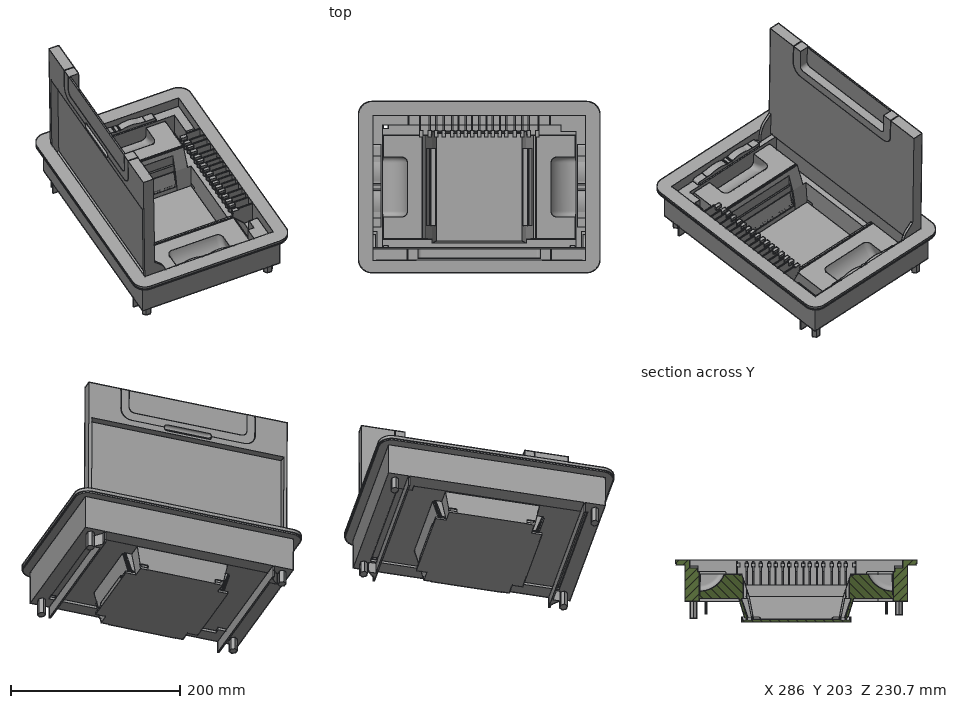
import cadquery as cq

RIM_LENGTH = 285.97
RIM_WIDTH = 202.97
RIM_CORNER_RADIUS = 16.2
RIM_EDGE_HEIGHT = 4.2
RIM_STEP_HEIGHT = 2.0
RIM_STEP_INSET = 1.0
RIM_HEIGHT = RIM_EDGE_HEIGHT + RIM_STEP_HEIGHT
BOX_HALF_LENGTH = 131.7
BOX_HALF_WIDTH = 90.7
BOX_BOTTOM = -49.3
OPENING_HALF_LENGTH = 125.7
OPENING_HALF_WIDTH = 84.7

LEDGE_TOP = -14.0
BACK_LEDGE_TOP = -29.5
BACK_LEDGE_HALF_LENGTH = 82.8
BACK_LEDGE_CHAMFER = 1.2
WELL_HALF_LENGTH = 114.5
WELL_HALF_WIDTH = 73.6
CORNER_BLOCK_LENGTH = 17.6
CORNER_BLOCK_WIDTH = 8.0

FIN_OFFSETS = [8.5, 16.0, 24.5, 32.0, 42.0, 51.0, 58.6, 70.0]
FIN_THICKNESS = 1.6
FIN_TOP = -2.0
FIN_TIP_Y = 59.0
FIN_TIP_BOTTOM = -14.0
FIN_SHOULDER_Y = 67.0
TAB_TOP = -4.0
TAB_HEIGHT = 4.5
TAB_WIDTH = 4.2
TAB_MAX_OFFSET = 68.6

SIDE_BLOCK_DEPTH = 9.3
SIDE_BLOCK_FRONT = -47.4
SIDE_BLOCK_BACK = 50.6
SIDE_BLOCK_HEIGHT = 4.0
SIDE_BLOCK_ROUND = 3.5
SIDE_STEP_Y = 36.5
SIDE_STEP_HEIGHT = 0.5
HUMP_INNER = 6.0
HUMP_OUTER = 29.5
HUMP_HEIGHT = 2.0
SIDE_GROOVE_Y = 3.2
SIDE_GROOVE_WIDTH = 1.8
SIDE_GROOVE_DEPTH = 1.0

POCKET_DEPTH_X = 5.1
POCKET_BACK = -52.4
POCKET_BOTTOM = -31.0

RAIL_OUTER_X = 107.6
RAIL_THICKNESS = 1.8
RAIL_BOTTOM = -64.2
GUSSET_OUTER_X = 116.4
GUSSET_BACK = -76.0
GUSSET_FRONT = -85.4
FOOT_INNER_X = 117.4
FOOT_OUTER_X = 125.6
FOOT_LENGTH = 11.5
FOOT_POINT_LENGTH = 3.0
FOOT_CENTRE_YS = [79.8, -80.1]
LEFT_FOOT_BOTTOM = -69.3
RIGHT_FOOT_BOTTOM = -65.2

TRAY_BOTTOM = -73.7
PLATE_TOP = -43.4
PLATE_THICKNESS = 2.6
PLATE_BOTTOM = PLATE_TOP - PLATE_THICKNESS
PAD_TOP = -17.0
PAD_TOP_OUTER_X = 113.0
PAD_TOP_INNER_X = 64.4
PAD_TOP_HALF_WIDTH = 60.7
PAD_BASE_HALF_WIDTH = 61.7
PAD_GROOVE_X = 67.0
PAD_GROOVE_SIZE = 1.0
TROUGH_TOP_HALF_LENGTH = 55.6
TROUGH_TOP_HALF_WIDTH = 66.4
TROUGH_FLOOR = -70.0
TROUGH_FLOOR_HALF_LENGTH = 50.4
TROUGH_FLOOR_HALF_WIDTH = 63.6
TROUGH_WALL = 2.2
SCOOP_INNER_X = 85.0
SCOOP_HALF_WIDTH = 35.5
SCOOP_DEPTH = 20.0
SCOOP_END_ROUND = 6.5
VENT_X = 110.0
VENT_Y = 71.3
VENT_LENGTH = 6.0
VENT_WIDTH = 3.8

SLOT_HALF_WIDTH = 45.5
LOWER_SLOT = (51.5, 58.3)
UPPER_SLOT = (59.0, 62.4)
CLIP_HALF_WIDTH = 49.7
CLIP_TOP_X = 67.9
CLIP_FOOT_X = 60.2
CLIP_FOOT_Z = -71.7
CLIP_THICKNESS = 3.2
CLIP_PANEL_HALF_WIDTH = 47.2
CLIP_PANEL_BOTTOM = -69.0
CLIP_PANEL_THICKNESS = 1.6
CLIP_PLATE_OUTER_X = 64.7
CLIP_PLATE_THICKNESS = 2.8
CLIP_LIP_HALF_WIDTH = 32.8
CLIP_LIP_HEIGHT = 6.2
CLIP_LIP_THICKNESS = 2.0
NOTCH_INNER_X = 42.5
NOTCH_DEPTH = 1.0
NOTCH_HEIGHT = 5.8
NOTCH_ROUND = 1.5

LID_TOP = 157.0
LID_FRONT_TOP_Y = -86.7
LID_FRONT_RIM_Y = -84.7
LID_BACK_TOP_Y = -73.5
LID_BACK_KNEE_Y = -71.6
LID_KNEE_Z = 18.0
LID_LEAN = (LID_FRONT_TOP_Y - LID_FRONT_RIM_Y) / LID_TOP
LID_CLEARING_DEPTH = LID_BACK_TOP_Y - LID_FRONT_TOP_Y + 1.0
LID_PANEL_HALF_LENGTH = 121.6
LID_PANEL_TOP = 108.6
LID_PANEL_DEPTH = 9.0
HINGE_ARM_WIDTH = 3.2
HINGE_CAM_START = (-61.6, 8.5)
HINGE_CAM_MIDDLE = (-57.3, 0.0)
HINGE_CAM_END = (-55.8, -8.0)
HINGE_BOTTOM = -24.0

FLAP_HALF_LENGTH = 84.5
FLAP_BOTTOM = 116.2
FLAP_CORNER_RADIUS = 13.0
FLAP_SIDE_GAP = 0.8
FLAP_PANEL_HALF_LENGTH = 74.6
FLAP_PANEL_BOTTOM = 127.0
FLAP_PANEL_RADIUS = 7.0
FLAP_PANEL_INSET = 0.3
FLAP_WALL = 2.3
FLAP_NOTCH_HALF_LENGTH = 72.7
FLAP_NOTCH_BOTTOM = 128.0
FLAP_NOTCH_RADIUS = 5.0
GRIP_HALF_LENGTH = 29.6
GRIP_BOTTOM = 111.8
GRIP_TOP = 120.0
GRIP_DEPTH = 4.5
GRIP_ROUND = 3.2


def block(x0, x1, y0, y1, z0, z1):
    """Box between two corners."""
    return cq.Workplane("XY").box(x1 - x0, y1 - y0, z1 - z0, centered=False).translate((x0, y0, z0))


def centred_block(half_length, half_width, z0, z1):
    return block(-half_length, half_length, -half_width, half_width, z0, z1)


def both_sides(shape):
    """The shape together with its mirror image across the YZ plane."""
    return shape.union(shape.mirror("YZ"))


def frustum(base, top):
    """Tapered block; each end is (x0, x1, half_width, z)."""
    x0, x1, half_width, z = base
    wire = cq.Workplane("XY", origin=((x0 + x1) / 2, 0, z)).rect(x1 - x0, 2 * half_width)
    tx0, tx1, top_half_width, top_z = top
    shift = (tx0 + tx1 - x0 - x1) / 2
    wire = wire.workplane(offset=top_z - z).center(shift, 0).rect(tx1 - tx0, 2 * top_half_width)
    return wire.loft(ruled=True)


def rim():
    edge = cq.Workplane("XY").rect(RIM_LENGTH, RIM_WIDTH).extrude(-RIM_EDGE_HEIGHT)
    edge = edge.edges("|Z").fillet(RIM_CORNER_RADIUS)
    inset = 2 * RIM_STEP_INSET
    step = cq.Workplane("XY", origin=(0, 0, -RIM_EDGE_HEIGHT)).rect(RIM_LENGTH - inset, RIM_WIDTH - inset)
    step = step.extrude(-RIM_STEP_HEIGHT).edges("|Z").fillet(RIM_CORNER_RADIUS - RIM_STEP_INSET)
    return edge.union(step)


def frame():
    body = rim().union(centred_block(BOX_HALF_LENGTH, BOX_HALF_WIDTH, BOX_BOTTOM, -RIM_HEIGHT))
    body = body.cut(centred_block(OPENING_HALF_LENGTH, OPENING_HALF_WIDTH, LEDGE_TOP, 0))
    body = body.cut(centred_block(WELL_HALF_LENGTH, WELL_HALF_WIDTH, BOX_BOTTOM, LEDGE_TOP))
    body = body.cut(back_recess())
    pocket_inner = OPENING_HALF_LENGTH - POCKET_DEPTH_X
    pocket = block(
        pocket_inner, OPENING_HALF_LENGTH, -WELL_HALF_WIDTH, POCKET_BACK, POCKET_BOTTOM, LEDGE_TOP
    )
    return body.cut(both_sides(pocket)).union(corner_block())


def back_recess():
    """Lower stretch of the back ledge, with chamfered upper ends."""
    half = BACK_LEDGE_HALF_LENGTH
    wide = half + BACK_LEDGE_CHAMFER
    shoulder = LEDGE_TOP - BACK_LEDGE_CHAMFER
    profile = [
        (-half, BACK_LEDGE_TOP),
        (half, BACK_LEDGE_TOP),
        (half, shoulder),
        (wide, LEDGE_TOP),
        (-wide, LEDGE_TOP),
        (-half, shoulder),
    ]
    recess = cq.Workplane("XZ", origin=(0, OPENING_HALF_WIDTH, 0)).polyline(profile).close()
    return recess.extrude(OPENING_HALF_WIDTH - WELL_HALF_WIDTH)


def corner_block():
    """Block filling the back right corner of the well, above and through the tray plate."""
    x0 = WELL_HALF_LENGTH - CORNER_BLOCK_LENGTH
    y0 = WELL_HALF_WIDTH - CORNER_BLOCK_WIDTH
    return block(x0, WELL_HALF_LENGTH, y0, WELL_HALF_WIDTH, BOX_BOTTOM, LEDGE_TOP)


def comb_fin(x):
    profile = [
        (OPENING_HALF_WIDTH, FIN_TOP),
        (FIN_SHOULDER_Y, FIN_TOP),
        (FIN_SHOULDER_Y, TAB_TOP),
        (FIN_TIP_Y, TAB_TOP),
        (FIN_TIP_Y, FIN_TIP_BOTTOM),
        (WELL_HALF_WIDTH, BACK_LEDGE_TOP),
        (OPENING_HALF_WIDTH, BACK_LEDGE_TOP),
    ]
    fin = cq.Workplane("YZ").polyline(profile).close().extrude(FIN_THICKNESS / 2, both=True)
    fin = fin.translate((x, 0, 0))
    tab_x = max(-TAB_MAX_OFFSET, min(TAB_MAX_OFFSET, x))
    half = TAB_WIDTH / 2
    tab = block(tab_x - half, tab_x + half, FIN_TIP_Y, FIN_SHOULDER_Y, TAB_TOP - TAB_HEIGHT, TAB_TOP)
    return fin.union(tab)


def comb():
    fins = comb_fin(0)
    for offset in FIN_OFFSETS:
        fins = fins.union(comb_fin(offset)).union(comb_fin(-offset))
    return fins


def side_block():
    """Block beside the well: a raised middle with two humps and two small grooves between them."""
    base = LEDGE_TOP + SIDE_BLOCK_HEIGHT
    top = base + SIDE_STEP_HEIGHT
    crest = top + HUMP_HEIGHT
    hump_middle = (HUMP_INNER + HUMP_OUTER) / 2
    inner_x = OPENING_HALF_LENGTH - SIDE_BLOCK_DEPTH
    outline = (
        cq.Workplane("YZ", origin=(inner_x, 0, 0))
        .moveTo(SIDE_BLOCK_FRONT, LEDGE_TOP)
        .lineTo(SIDE_BLOCK_FRONT, base)
        .lineTo(-SIDE_STEP_Y, base)
        .lineTo(-SIDE_STEP_Y, top)
        .lineTo(-HUMP_OUTER, top)
        .threePointArc((-hump_middle, crest), (-HUMP_INNER, top))
        .lineTo(HUMP_INNER, top)
        .threePointArc((hump_middle, crest), (HUMP_OUTER, top))
        .lineTo(SIDE_STEP_Y, top)
        .lineTo(SIDE_STEP_Y, base)
        .lineTo(SIDE_BLOCK_BACK - SIDE_BLOCK_ROUND, base)
        .radiusArc((SIDE_BLOCK_BACK, base - SIDE_BLOCK_ROUND), SIDE_BLOCK_ROUND)
        .lineTo(SIDE_BLOCK_BACK, LEDGE_TOP)
        .close()
    )
    body = outline.extrude(SIDE_BLOCK_DEPTH)
    half_groove = SIDE_GROOVE_WIDTH / 2
    for y in (-SIDE_GROOVE_Y, SIDE_GROOVE_Y):
        groove = block(
            inner_x, OPENING_HALF_LENGTH, y - half_groove, y + half_groove, top - SIDE_GROOVE_DEPTH, top
        )
        body = body.cut(groove)
    return body


def rail():
    """Long thin wall under the frame, with an oblique gusset at its front end."""
    wall = block(
        RAIL_OUTER_X - RAIL_THICKNESS, RAIL_OUTER_X, -BOX_HALF_WIDTH, BOX_HALF_WIDTH, RAIL_BOTTOM, BOX_BOTTOM
    )
    corners = [(RAIL_OUTER_X, GUSSET_BACK), (RAIL_OUTER_X, GUSSET_FRONT), (GUSSET_OUTER_X, GUSSET_BACK)]
    gusset = cq.Workplane("XY", origin=(0, 0, BOX_BOTTOM)).polyline(corners).close()
    return wall.union(gusset.extrude(RAIL_BOTTOM - BOX_BOTTOM))


def foot(side, centre_y, bottom):
    """Hexagonal foot pointed along Y; side is -1 for left and 1 for right."""
    half_width = (FOOT_OUTER_X - FOOT_INNER_X) / 2
    tip = FOOT_LENGTH / 2
    shoulder = tip - FOOT_POINT_LENGTH
    outline = [
        (0, tip),
        (half_width, shoulder),
        (half_width, -shoulder),
        (0, -tip),
        (-half_width, -shoulder),
        (-half_width, shoulder),
    ]
    centre_x = side * (FOOT_INNER_X + FOOT_OUTER_X) / 2
    base = cq.Workplane("XY", origin=(centre_x, centre_y, BOX_BOTTOM))
    return base.polyline(outline).close().extrude(bottom - BOX_BOTTOM)


def make_housing():
    body = frame().union(comb()).union(both_sides(side_block())).union(both_sides(rail()))
    for centre_y in FOOT_CENTRE_YS:
        body = body.union(foot(-1, centre_y, LEFT_FOOT_BOTTOM))
        body = body.union(foot(1, centre_y, RIGHT_FOOT_BOTTOM))
    return body


def trough(top_z, bottom_z, wall):
    """Tapered trough volume between two levels, grown sideways by the wall thickness."""
    slope_x = (TROUGH_TOP_HALF_LENGTH - TROUGH_FLOOR_HALF_LENGTH) / (PLATE_TOP - TROUGH_FLOOR)
    slope_y = (TROUGH_TOP_HALF_WIDTH - TROUGH_FLOOR_HALF_WIDTH) / (PLATE_TOP - TROUGH_FLOOR)

    def level(z):
        drop = PLATE_TOP - z
        half_length = TROUGH_TOP_HALF_LENGTH + wall - slope_x * drop
        return (-half_length, half_length, TROUGH_TOP_HALF_WIDTH + wall - slope_y * drop, z)

    return frustum(level(bottom_z), level(top_z))


def pad():
    base = (TROUGH_TOP_HALF_LENGTH, WELL_HALF_LENGTH, PAD_BASE_HALF_WIDTH, PLATE_TOP)
    top = (PAD_TOP_INNER_X, PAD_TOP_OUTER_X, PAD_TOP_HALF_WIDTH, PAD_TOP)
    half_groove = PAD_GROOVE_SIZE / 2
    groove = block(
        PAD_GROOVE_X - half_groove,
        PAD_GROOVE_X + half_groove,
        -PAD_BASE_HALF_WIDTH,
        PAD_BASE_HALF_WIDTH,
        PAD_TOP - PAD_GROOVE_SIZE,
        PAD_TOP,
    )
    return frustum(base, top).cut(groove).cut(finger_scoop())


def finger_scoop():
    """Hollow with an arched floor, deepest at the outer edge of the pad and rounded at both ends."""
    reach = WELL_HALF_LENGTH - SCOOP_INNER_X
    radius = (reach**2 + SCOOP_DEPTH**2) / (2 * SCOOP_DEPTH)
    centre_z = PAD_TOP - SCOOP_DEPTH + radius
    cylinder = cq.Workplane("XZ", origin=(WELL_HALF_LENGTH, 0, centre_z)).circle(radius)
    cylinder = cylinder.extrude(SCOOP_HALF_WIDTH, both=True).edges("%CIRCLE").fillet(SCOOP_END_ROUND)
    x0 = WELL_HALF_LENGTH - radius
    floor_z = PAD_TOP - SCOOP_DEPTH
    below_top = block(x0, WELL_HALF_LENGTH, -SCOOP_HALF_WIDTH, SCOOP_HALF_WIDTH, floor_z, PAD_TOP)
    return cylinder.intersect(below_top)


def clip_layer(inner_x, outer_x, half_width, bottom_z):
    """Slanted layer of the clip; both X values are taken at the underside of the tray plate."""
    lean = (CLIP_TOP_X - CLIP_FOOT_X) / (PLATE_BOTTOM - CLIP_FOOT_Z)
    shift = lean * (PLATE_BOTTOM - bottom_z)
    profile = [
        (inner_x, PLATE_BOTTOM),
        (outer_x, PLATE_BOTTOM),
        (outer_x - shift, bottom_z),
        (inner_x - shift, bottom_z),
    ]
    return cq.Workplane("XZ").polyline(profile).close().extrude(half_width, both=True)


def clip_web():
    """End walls joining the slanted arm to the trough."""
    profile = [
        (TROUGH_FLOOR_HALF_LENGTH, PLATE_BOTTOM),
        (CLIP_TOP_X - CLIP_THICKNESS, PLATE_BOTTOM),
        (CLIP_FOOT_X - CLIP_THICKNESS, CLIP_PANEL_BOTTOM),
        (TROUGH_FLOOR_HALF_LENGTH, CLIP_PANEL_BOTTOM),
    ]
    walls = cq.Workplane("XZ").polyline(profile).close().extrude(CLIP_HALF_WIDTH, both=True)
    span = block(0, CLIP_TOP_X, -CLIP_PANEL_HALF_WIDTH, CLIP_PANEL_HALF_WIDTH, TRAY_BOTTOM, PLATE_BOTTOM)
    return walls.cut(span).cut(trough(PLATE_TOP, TROUGH_FLOOR, 0))


def clip():
    """Slanted spring arm with its raised panel, the end walls, the foot plate and its lip."""
    arm_outer = CLIP_TOP_X - CLIP_PANEL_THICKNESS
    arm = clip_layer(CLIP_TOP_X - CLIP_THICKNESS, arm_outer, CLIP_HALF_WIDTH, CLIP_FOOT_Z)
    panel = clip_layer(arm_outer, CLIP_TOP_X, CLIP_PANEL_HALF_WIDTH, CLIP_PANEL_BOTTOM)
    plate = block(
        TROUGH_FLOOR_HALF_LENGTH,
        CLIP_PLATE_OUTER_X,
        -CLIP_HALF_WIDTH,
        CLIP_HALF_WIDTH,
        TRAY_BOTTOM,
        TRAY_BOTTOM + CLIP_PLATE_THICKNESS,
    )
    lip = block(
        CLIP_PLATE_OUTER_X - CLIP_LIP_THICKNESS,
        CLIP_PLATE_OUTER_X,
        -CLIP_LIP_HALF_WIDTH,
        CLIP_LIP_HALF_WIDTH,
        TRAY_BOTTOM,
        TRAY_BOTTOM + CLIP_LIP_HEIGHT,
    )
    return arm.union(panel).union(clip_web()).union(plate).union(lip)


def clip_slots():
    """Two long slots through the sloping side of the trough, above the clip."""
    slots = cq.Workplane("XY")
    for x0, x1 in (LOWER_SLOT, UPPER_SLOT):
        slots = slots.union(
            block(x0, x1, -SLOT_HALF_WIDTH, SLOT_HALF_WIDTH, TRAY_BOTTOM + CLIP_PLATE_THICKNESS, PAD_TOP)
        )
    return slots


def corner_notches():
    """Shallow reliefs at the bottom corners of the trough's front and back walls."""
    y0 = TROUGH_FLOOR_HALF_WIDTH + TROUGH_WALL - NOTCH_DEPTH
    top_z = TRAY_BOTTOM + NOTCH_HEIGHT
    notch = block(
        NOTCH_INNER_X, TROUGH_TOP_HALF_LENGTH, y0, TROUGH_TOP_HALF_WIDTH, TRAY_BOTTOM, top_z
    )
    notch = both_sides(notch.edges("|Y and <X and >Z").fillet(NOTCH_ROUND))
    return notch.union(notch.mirror("XZ"))


def vents():
    points = [(x, y) for x in (-VENT_X, VENT_X) for y in (-VENT_Y, VENT_Y)]
    holes = cq.Workplane("XY", origin=(0, 0, PLATE_BOTTOM)).pushPoints(points)
    return holes.rect(VENT_LENGTH, VENT_WIDTH).extrude(PLATE_THICKNESS)


def make_tray():
    body = centred_block(WELL_HALF_LENGTH, WELL_HALF_WIDTH, PLATE_BOTTOM, PLATE_TOP)
    body = body.union(trough(PLATE_TOP, TRAY_BOTTOM, TROUGH_WALL)).union(both_sides(pad()))
    body = body.cut(trough(PLATE_TOP, TROUGH_FLOOR, 0)).cut(corner_notches())
    body = body.cut(both_sides(clip_slots())).union(both_sides(clip()))
    return body.cut(vents()).cut(corner_block())


def lid_front_y(z):
    return LID_FRONT_RIM_Y + LID_LEAN * z


def lid_slab():
    """Leaning slab of the lid, without the hinge arms."""
    back_lean = (LID_BACK_TOP_Y - LID_BACK_KNEE_Y) / (LID_TOP - LID_KNEE_Z)
    back_bottom_y = LID_BACK_KNEE_Y + back_lean * (LEDGE_TOP - LID_KNEE_Z)
    profile = [
        (lid_front_y(LEDGE_TOP), LEDGE_TOP),
        (LID_FRONT_TOP_Y, LID_TOP),
        (LID_BACK_TOP_Y, LID_TOP),
        (back_bottom_y, LEDGE_TOP),
    ]
    return cq.Workplane("YZ").polyline(profile).close().extrude(OPENING_HALF_LENGTH, both=True)


def hinge_arm():
    arm = (
        cq.Workplane("YZ", origin=(OPENING_HALF_LENGTH - HINGE_ARM_WIDTH, 0, 0))
        .moveTo(LID_BACK_KNEE_Y, LID_KNEE_Z)
        .lineTo(*HINGE_CAM_START)
        .threePointArc(HINGE_CAM_MIDDLE, HINGE_CAM_END)
        .lineTo(HINGE_CAM_END[0], HINGE_BOTTOM)
        .lineTo(-WELL_HALF_WIDTH, HINGE_BOTTOM)
        .lineTo(-WELL_HALF_WIDTH, LID_KNEE_Z)
        .close()
    )
    return arm.extrude(HINGE_ARM_WIDTH)


def leaning_slot(half_length, bottom, radius, near_depth, far_depth):
    """Round-cornered slot open at the top of the lid, between two depths behind its front face."""
    height = LID_TOP - bottom
    shape = cq.Workplane("XZ").center(0, bottom + height / 2).rect(2 * half_length, height)
    shape = shape.extrude(OPENING_HALF_WIDTH + WELL_HALF_WIDTH).edges("|Y and <Z").fillet(radius)
    layer = [
        (lid_front_y(bottom) + near_depth, bottom),
        (lid_front_y(LID_TOP) + near_depth, LID_TOP),
        (lid_front_y(LID_TOP) + far_depth, LID_TOP),
        (lid_front_y(bottom) + far_depth, bottom),
    ]
    return shape.intersect(cq.Workplane("YZ").polyline(layer).close().extrude(half_length, both=True))


def grip_recess():
    """Rounded finger recess across the joint between flap and lid."""
    front = lid_front_y(GRIP_TOP)
    recess = block(
        -GRIP_HALF_LENGTH, GRIP_HALF_LENGTH, front - GRIP_DEPTH, front + GRIP_DEPTH, GRIP_BOTTOM, GRIP_TOP
    )
    return recess.edges(">Y or |Y").fillet(GRIP_ROUND)


def make_lid():
    lid = lid_slab().union(both_sides(hinge_arm()))
    front_panel = [
        (lid_front_y(LEDGE_TOP), LEDGE_TOP),
        (lid_front_y(LID_PANEL_TOP), LID_PANEL_TOP),
        (lid_front_y(LID_PANEL_TOP) + LID_PANEL_DEPTH, LID_PANEL_TOP),
        (lid_front_y(LEDGE_TOP) + LID_PANEL_DEPTH, LEDGE_TOP),
    ]
    recess = cq.Workplane("YZ").polyline(front_panel).close().extrude(LID_PANEL_HALF_LENGTH, both=True)
    seat_radius = FLAP_CORNER_RADIUS + FLAP_SIDE_GAP
    seat = leaning_slot(FLAP_HALF_LENGTH + FLAP_SIDE_GAP, FLAP_BOTTOM, seat_radius, 0, LID_CLEARING_DEPTH)
    return lid.cut(recess).cut(seat).cut(grip_recess())


def make_flap():
    """U-shaped flap: a thick border around a thin panel, open towards the top and the back."""
    flap = leaning_slot(FLAP_HALF_LENGTH, FLAP_BOTTOM, FLAP_CORNER_RADIUS, 0, LID_CLEARING_DEPTH)
    flap = flap.intersect(lid_slab())
    panel = leaning_slot(FLAP_PANEL_HALF_LENGTH, FLAP_PANEL_BOTTOM, FLAP_PANEL_RADIUS, 0, FLAP_PANEL_INSET)
    notch = leaning_slot(
        FLAP_NOTCH_HALF_LENGTH, FLAP_NOTCH_BOTTOM, FLAP_NOTCH_RADIUS, FLAP_WALL, LID_CLEARING_DEPTH
    )
    return flap.cut(panel).cut(notch).cut(grip_recess())


housing = make_housing()
tray = make_tray()
lid = make_lid()
flap = make_flap()

result = cq.Compound.makeCompound([*housing.vals(), *tray.vals(), *lid.vals(), *flap.vals()])